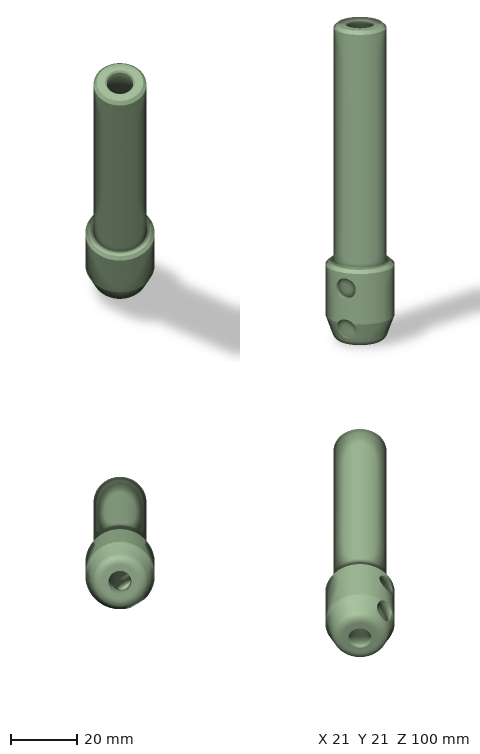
import cadquery as cq
import math

total_length = 100.0
shank_radius = 8.0
shank_chamfer = 1.0
head_radius = 10.5
head_length = 25.0
head_chamfer = 1.0
neck_fillet = 0.5
nose_length = 8.0
nose_angle = math.radians(20.0)
nose_round = 3.0

shank_bore_radius = 4.0
head_bore_radius = 3.5
bore_mouth_chamfer = 0.5
bore_step_angle = math.radians(31.0)

screw_radius = 3.25
screw_heights = (6.0, 19.0)
screw_tip_y = 2.5
screw_tip_radius = 2.4
screw_outer_y = 8.0


def pin_blank():
    """Shank, head and tapered nose turned as one profile."""
    end_radius = head_radius - nose_length * math.tan(nose_angle)
    half_turn = (math.pi / 2 - nose_angle) / 2
    round_setback = nose_round * math.tan(half_turn)
    flat_radius = end_radius - round_setback
    taper_start = (
        end_radius + round_setback * math.sin(nose_angle),
        round_setback * math.cos(nose_angle),
    )
    round_middle = (
        flat_radius + nose_round * math.sin(half_turn),
        nose_round * (1 - math.cos(half_turn)),
    )
    diagonal = neck_fillet * (1 - math.sqrt(0.5))
    return (
        cq.Workplane("XZ")
        .moveTo(0, 0)
        .lineTo(flat_radius, 0)
        .threePointArc(round_middle, taper_start)
        .lineTo(head_radius, nose_length)
        .lineTo(head_radius, head_length - head_chamfer)
        .lineTo(head_radius - head_chamfer, head_length)
        .lineTo(shank_radius + neck_fillet, head_length)
        .threePointArc(
            (shank_radius + diagonal, head_length + diagonal),
            (shank_radius, head_length + neck_fillet),
        )
        .lineTo(shank_radius, total_length - shank_chamfer)
        .lineTo(shank_radius - shank_chamfer, total_length)
        .lineTo(0, total_length)
        .close()
        .revolve(360, (0, 0, 0), (0, 1, 0))
    )


def bore():
    """Wide in the shank, narrow in the head, with a conical step and a chamfered mouth."""
    step_height = (shank_bore_radius - head_bore_radius) * math.tan(bore_step_angle)
    return (
        cq.Workplane("XZ")
        .moveTo(0, 0)
        .lineTo(head_bore_radius, 0)
        .lineTo(head_bore_radius, head_length)
        .lineTo(shank_bore_radius, head_length + step_height)
        .lineTo(shank_bore_radius, total_length - bore_mouth_chamfer)
        .lineTo(shank_bore_radius + bore_mouth_chamfer, total_length)
        .lineTo(0, total_length)
        .close()
        .revolve(360, (0, 0, 0), (0, 1, 0))
    )


def rod_along_y(radius, start_y, end_y, height):
    """Cylinder parallel to Y at the given height, on the plane X = 0."""
    return (
        cq.Workplane("XZ", origin=(0, start_y, height))
        .circle(radius)
        .extrude(start_y - end_y)
    )


def set_screw(height):
    """Plain set screw with a chamfered flat tip."""
    screw = rod_along_y(screw_radius, screw_tip_y, screw_outer_y, height)
    return screw.faces("<Y").chamfer(screw_radius - screw_tip_radius)


pin = pin_blank().cut(bore())
for height in screw_heights:
    pin = pin.cut(rod_along_y(screw_radius, 0, 2 * head_radius, height))

set_screws = [set_screw(height) for height in screw_heights]

result = cq.Compound.makeCompound([pin.val(), *[screw.val() for screw in set_screws]])